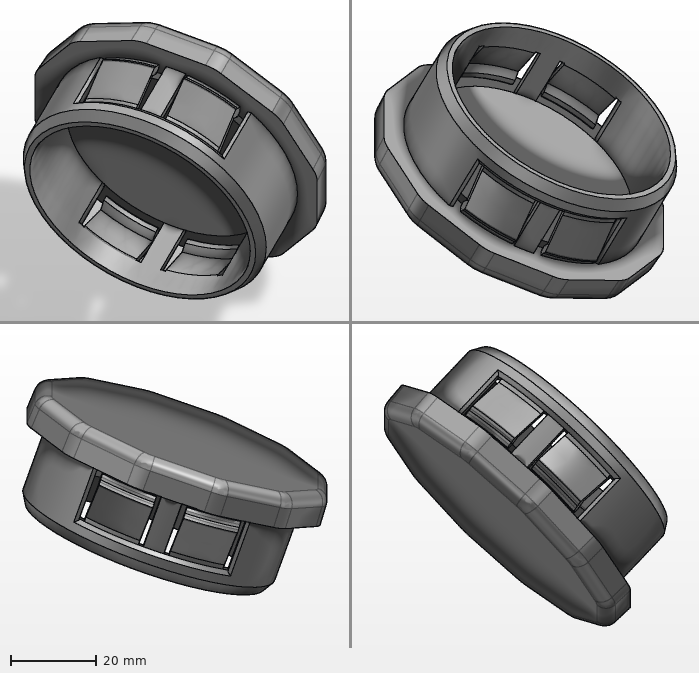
import cadquery as cq
import math


flange_sides = 12
flange_width = 73.15
flange_thickness = 8.0
flange_draft = 3.0
corner_radius = 8.0
rim_radius = 3.15

sleeve_radius = 63.0 / 2
bore_radius = 57.1 / 2
sleeve_length = 20.05
lead_in_length = 2.6
lead_in_depth = 1.5
plug_radius = 54.65 / 2
plug_height = 2.0

window_half_width = 18.6
window_length = 14.05
bar_width = 5.1
recess_radius = 30.6
recess_slope_run = 1.1
recess_side_width = 0.95
recess_side_z = 24.6

clip_inner_x = 3.8
clip_outer_x = 17.25
clip_straight_root = 1.1
clip_root_inner = 0.4
clip_root_overlap = 0.3
clip_underside = 30.7
clip_grip = [
    (-1.3, 32.3),
    (-2.0, 32.85),
    (-2.6, 33.15),
    (-3.1, 33.6),
    (-3.7, 34.0),
    (-3.95, 33.95),
]
clip_bend = (-4.8, 32.1)
nose_chamfer = 0.45
nose_foot_y = -3.1

reach = 43.9
through = 2 * reach


def flange():
    circumscribed = flange_width / math.cos(math.pi / flange_sides)
    half_step = 180.0 / flange_sides
    body = (
        cq.Workplane("XZ")
        .transformed(rotate=(0, 0, half_step))
        .polygon(flange_sides, circumscribed)
        .extrude(-flange_thickness, taper=flange_draft)
    )
    body = body.edges("not (#Y)").fillet(corner_radius)
    return body.faces(">Y").edges().fillet(rim_radius)


def revolved(profile):
    """Turn a (radius, Y) outline about the Y axis."""
    return cq.Workplane("XY").polyline(profile).close().revolve(360, (0, 0), (0, 1))


def sleeve():
    return revolved([
        (bore_radius, 0),
        (sleeve_radius, 0),
        (sleeve_radius, lead_in_length - sleeve_length),
        (sleeve_radius - lead_in_depth, -sleeve_length),
        (bore_radius, -sleeve_length),
    ])


def plug():
    return cq.Workplane("XZ").circle(plug_radius).extrude(plug_height)


def recess():
    """Tool for the recess around the +Z windows, with a sloped end and side ledges."""
    slope_depth = sleeve_radius - recess_radius
    slope_gain = recess_slope_run / slope_depth
    ring_end = -window_length - slope_gain * (reach - recess_radius)
    ring = revolved([
        (recess_radius, 0),
        (reach, 0),
        (reach, ring_end),
        (recess_radius, -window_length),
    ])
    border_x = window_half_width + recess_side_width
    border_z = math.sqrt(sleeve_radius**2 - border_x**2)
    outline = [
        (window_half_width, recess_side_z),
        (border_x, border_z),
        (border_x, reach),
        (-border_x, reach),
        (-border_x, border_z),
        (-window_half_width, recess_side_z),
        (-window_half_width, 0),
        (window_half_width, 0),
    ]
    prism = cq.Workplane("XZ").polyline(outline).close().extrude(through)
    return ring.intersect(prism)


def x_span(x_start, x_end, length):
    """Upright block between two X values, from Y = 0 to -length, on the +Z side."""
    return cq.Workplane("XY").box(
        x_end - x_start, length, reach, centered=False
    ).translate((x_start, -length, 0))


def clips():
    root_end = -window_length - clip_root_overlap
    nose_front = clip_grip[0][0]
    outline = [(radius, y) for y, radius in clip_grip]
    outline += [
        (recess_radius, clip_straight_root - window_length),
        (recess_radius, root_end),
        (bore_radius, root_end),
        (bore_radius, clip_root_inner - window_length),
        (clip_bend[1], clip_bend[0]),
        (clip_underside, nose_foot_y),
        (clip_underside, nose_front - nose_chamfer),
        (clip_underside + nose_chamfer, nose_front),
    ]
    right = revolved(outline).intersect(x_span(clip_inner_x, clip_outer_x, through))
    return right.union(right.mirror("YZ"))


def both_sides(upper):
    return upper.union(upper.mirror("XY"))


windows = x_span(bar_width / 2, window_half_width, window_length)
windows = windows.union(windows.mirror("YZ"))

result = (
    sleeve()
    .cut(both_sides(recess()))
    .cut(both_sides(windows))
    .union(both_sides(clips()))
    .union(flange())
    .union(plug())
)